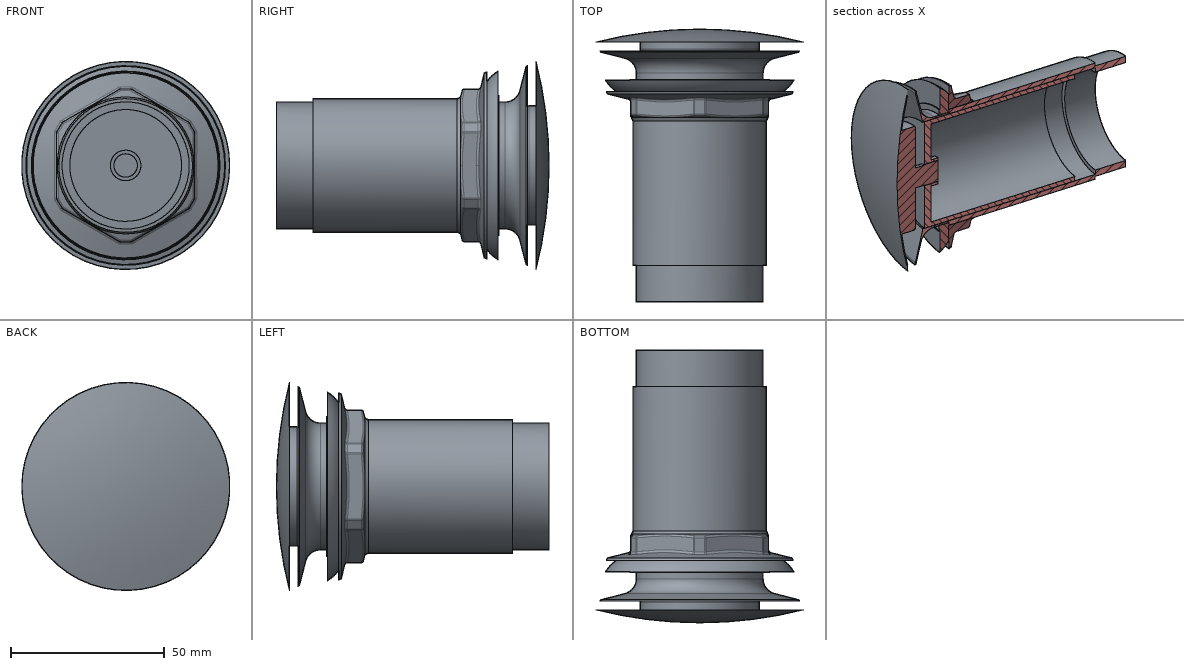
import cadquery as cq
import math


TOTAL_LENGTH = 88.7
CONE_ANGLE = 14.0
CONE_SLOPE = math.tan(math.radians(CONE_ANGLE))

TAIL_LENGTH = 11.9
TAIL_RADIUS = 20.7
TAIL_BORE_RADIUS = 18.2
SLEEVE_RADIUS = 21.7
MAIN_BORE_RADIUS = 19.8
NECK_RADIUS = TAIL_RADIUS
NECK_TOP = 74.4
NECK_FILLET = 4.9
FLANGE_RADIUS = 32.5
FLANGE_TOP = 81.6
FLANGE_EDGE_HEIGHT = 0.4
FLANGE_EDGE_INSET = 0.3
DISH_RADIUS = 31.5

GASKET_BOTTOM = 68.5
GASKET_TOP = 72.1
GASKET_TOP_RADIUS = 30.7
GASKET_BOTTOM_RADIUS = 27.3
GASKET_BULGE = 0.3
GASKET_LIP_RADIUS = 22.7
GASKET_LIP_HEIGHT = 0.3

WASHER_RADIUS = 30.4
WASHER_EDGE_HEIGHT = 0.9
WASHER_EDGE_INSET = 0.35
NUT_ACROSS_FLATS = 44.9
NUT_ACROSS_CORNERS = 49.7
NUT_CORNER_FILLET = 0.9
NUT_ROOT_FILLET = 0.9
NUT_END_FILLET = 0.7
NUT_CONE_BOTTOM = 59.9
NUT_COLLAR_RADIUS = 22.3
NUT_BOTTOM = 58.8
ROOT_LEVEL = 63.0

INSERT_BOTTOM = 19.7
INSERT_TOP = 78.1
INSERT_BORE_RADIUS = TAIL_BORE_RADIUS
INSERT_FLOOR = 2.7
BOSS_RADIUS = 5.0
BOSS_LENGTH = 2.7

DOME_DIAMETER = 67.7
DOME_RADIUS = DOME_DIAMETER / 2
DOME_CAVITY_RADIUS = 31.3
DOME_BOTTOM = 84.4
PLUG_RADIUS = 19.4
PLUG_BOTTOM = 81.4
PLUG_FILLET = 0.7
STEM_RADIUS = 3.8

INSERT_FLOOR_BOTTOM = INSERT_TOP - INSERT_FLOOR
BOSS_BOTTOM = INSERT_FLOOR_BOTTOM - BOSS_LENGTH


def revolve_about_y(profile):
    """Close a profile and turn it through a full circle about Y."""
    return profile.close().revolve(360, (0, 0), (0, 1))


def cylinder(radius, bottom, top):
    """Cylinder along Y between two heights."""
    return cq.Workplane("XZ", origin=(0, bottom, 0)).circle(radius).extrude(bottom - top)


def make_body():
    fillet_center_radius = NECK_RADIUS + NECK_FILLET
    sweep = math.radians(90 - CONE_ANGLE)

    def fillet_point(angle):
        radius = fillet_center_radius - NECK_FILLET * math.cos(angle)
        height = NECK_TOP + NECK_FILLET * math.sin(angle)
        return radius, height

    dish_bottom = FLANGE_TOP - (DISH_RADIUS - MAIN_BORE_RADIUS) * CONE_SLOPE
    profile = (
        cq.Workplane("XY")
        .moveTo(TAIL_BORE_RADIUS, 0)
        .lineTo(TAIL_RADIUS, 0)
        .lineTo(TAIL_RADIUS, TAIL_LENGTH)
        .lineTo(SLEEVE_RADIUS, TAIL_LENGTH)
        .lineTo(SLEEVE_RADIUS, GASKET_BOTTOM)
        .lineTo(NECK_RADIUS, GASKET_BOTTOM)
        .lineTo(NECK_RADIUS, NECK_TOP)
        .threePointArc(fillet_point(sweep / 2), fillet_point(sweep))
        .lineTo(FLANGE_RADIUS - FLANGE_EDGE_INSET, FLANGE_TOP - FLANGE_EDGE_HEIGHT)
        .lineTo(FLANGE_RADIUS, FLANGE_TOP)
        .lineTo(DISH_RADIUS, FLANGE_TOP)
        .lineTo(MAIN_BORE_RADIUS, dish_bottom)
        .lineTo(MAIN_BORE_RADIUS, TAIL_LENGTH)
        .lineTo(TAIL_BORE_RADIUS, TAIL_LENGTH)
    )
    return revolve_about_y(profile)


def make_gasket():
    middle_radius = (GASKET_TOP_RADIUS + GASKET_BOTTOM_RADIUS) / 2
    middle_height = (GASKET_TOP + GASKET_BOTTOM) / 2
    bulge_offset = GASKET_BULGE / math.sqrt(2)
    lip_top = GASKET_TOP + GASKET_LIP_HEIGHT
    profile = (
        cq.Workplane("XY")
        .moveTo(NECK_RADIUS, GASKET_BOTTOM)
        .lineTo(GASKET_BOTTOM_RADIUS, GASKET_BOTTOM)
        .threePointArc(
            (middle_radius + bulge_offset, middle_height - bulge_offset),
            (GASKET_TOP_RADIUS, GASKET_TOP),
        )
        .lineTo(GASKET_LIP_RADIUS, GASKET_TOP)
        .lineTo(GASKET_LIP_RADIUS, lip_top)
        .lineTo(NECK_RADIUS, lip_top)
    )
    return revolve_about_y(profile)


def hexagonal_prism(across_flats, first_flat_angle):
    """Hexagonal prism along Y from the nut bottom to the washer top; the angle is about Y."""
    across_points = across_flats / math.cos(math.radians(30))
    return (
        cq.Workplane("XZ", origin=(0, NUT_BOTTOM, 0))
        .polygon(6, across_points)
        .extrude(NUT_BOTTOM - GASKET_BOTTOM)
        .rotate((0, 0, 0), (0, 1, 0), first_flat_angle + 30)
    )


def edges_between(shape, bottom, top):
    """Edges of a nut shape lying wholly between two heights, within reach of the hexagon."""
    reach = NUT_ACROSS_CORNERS / 2 + NUT_ROOT_FILLET
    found = []
    for edge in shape.edges().vals():
        box = edge.BoundingBox()
        if bottom < box.ymin and box.ymax < top and max(box.xmax, box.zmax) < reach:
            found.append(edge)
    return found


def make_nut():
    hexagon = hexagonal_prism(NUT_ACROSS_FLATS, 0)
    hexagon = hexagon.intersect(hexagonal_prism(NUT_ACROSS_CORNERS, 30))
    hexagon = hexagon.edges("|Y").fillet(NUT_CORNER_FILLET)

    cone_tip = NUT_CONE_BOTTOM - NUT_COLLAR_RADIUS * CONE_SLOPE
    cone_base = cone_tip + WASHER_RADIUS * CONE_SLOPE
    end_envelope = revolve_about_y(
        cq.Workplane("XY")
        .moveTo(0, cone_tip)
        .lineTo(WASHER_RADIUS, cone_base)
        .lineTo(WASHER_RADIUS, GASKET_BOTTOM)
        .lineTo(0, GASKET_BOTTOM)
    )
    hexagon = hexagon.intersect(end_envelope)
    end_edges = edges_between(hexagon, NUT_BOTTOM, ROOT_LEVEL)
    hexagon = hexagon.newObject(end_edges).fillet(NUT_END_FILLET)

    washer_edge_bottom = GASKET_BOTTOM - WASHER_EDGE_HEIGHT
    washer_edge_radius = WASHER_RADIUS - WASHER_EDGE_INSET
    washer_bottom = washer_edge_bottom - (washer_edge_radius - SLEEVE_RADIUS) * CONE_SLOPE
    washer = revolve_about_y(
        cq.Workplane("XY")
        .moveTo(0, washer_bottom)
        .lineTo(SLEEVE_RADIUS, washer_bottom)
        .lineTo(washer_edge_radius, washer_edge_bottom)
        .lineTo(WASHER_RADIUS, GASKET_BOTTOM)
        .lineTo(0, GASKET_BOTTOM)
    )
    nut = hexagon.union(washer)

    root_edges = edges_between(nut, ROOT_LEVEL, washer_edge_bottom)
    nut = nut.newObject(root_edges).fillet(NUT_ROOT_FILLET)

    collar = revolve_about_y(
        cq.Workplane("XY")
        .moveTo(0, NUT_BOTTOM)
        .lineTo(SLEEVE_RADIUS, NUT_BOTTOM)
        .lineTo(NUT_COLLAR_RADIUS, NUT_CONE_BOTTOM)
        .lineTo(0, NUT_CONE_BOTTOM)
    )
    nut = nut.union(collar)
    return nut.cut(cylinder(SLEEVE_RADIUS, NUT_BOTTOM, GASKET_BOTTOM))


def make_insert():
    profile = (
        cq.Workplane("XY")
        .moveTo(INSERT_BORE_RADIUS, INSERT_BOTTOM)
        .lineTo(MAIN_BORE_RADIUS, INSERT_BOTTOM)
        .lineTo(MAIN_BORE_RADIUS, INSERT_TOP)
        .lineTo(STEM_RADIUS, INSERT_TOP)
        .lineTo(STEM_RADIUS, BOSS_BOTTOM)
        .lineTo(BOSS_RADIUS, BOSS_BOTTOM)
        .lineTo(BOSS_RADIUS, INSERT_FLOOR_BOTTOM)
        .lineTo(INSERT_BORE_RADIUS, INSERT_FLOOR_BOTTOM)
    )
    return revolve_about_y(profile)


def make_cap():
    dome_height = TOTAL_LENGTH - DOME_BOTTOM
    outer_sphere = (DOME_RADIUS**2 + dome_height**2) / (2 * dome_height)
    sphere_center = TOTAL_LENGTH - outer_sphere
    inner_sphere = math.hypot(DOME_CAVITY_RADIUS, DOME_BOTTOM - sphere_center)

    def point_on_sphere(sphere_radius, radius):
        return radius, sphere_center + math.sqrt(sphere_radius**2 - radius**2)

    dome = revolve_about_y(
        cq.Workplane("XY")
        .moveTo(0, DOME_BOTTOM)
        .lineTo(PLUG_RADIUS, DOME_BOTTOM)
        .lineTo(*point_on_sphere(inner_sphere, PLUG_RADIUS))
        .threePointArc(
            point_on_sphere(inner_sphere, (PLUG_RADIUS + DOME_CAVITY_RADIUS) / 2),
            (DOME_CAVITY_RADIUS, DOME_BOTTOM),
        )
        .lineTo(DOME_RADIUS, DOME_BOTTOM)
        .threePointArc(point_on_sphere(outer_sphere, DOME_RADIUS / 2), (0, TOTAL_LENGTH))
    )
    plug = cylinder(PLUG_RADIUS, PLUG_BOTTOM, DOME_BOTTOM).faces("<Y").edges().fillet(PLUG_FILLET)
    stem = cylinder(STEM_RADIUS, BOSS_BOTTOM, DOME_BOTTOM)
    return dome.union(plug).union(stem)


body = make_body()
gasket = make_gasket()
nut = make_nut()
insert = make_insert()
cap = make_cap()

result = cq.Compound.makeCompound([body.val(), gasket.val(), nut.val(), insert.val(), cap.val()])